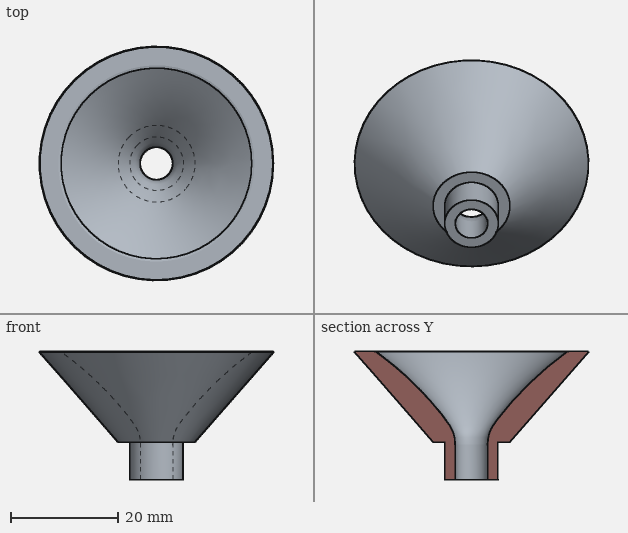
import cadquery as cq
import math

rim_radius = 21.8
total_height = 24.0

stem_radius = 10.0 / 2
stem_length = 6.98
cone_base_radius = 7.15
rim_bevel_width = 0.15
rim_bevel_height = 0.25

lip_radius = 18.25
lip_drop = 0.15
mouth_radius = 17.75
mouth_height = total_height - lip_drop

bore_radius = 6.0 / 2
throat_height = 6.55
lower_flare_point = (4.45, 10.75)
upper_flare_point = (10.75, 17.95)
mouth_slope = math.radians(36)

flare_points = [
    upper_flare_point,
    lower_flare_point,
    (bore_radius, throat_height),
]
mouth_direction = (-math.cos(mouth_slope), -math.sin(mouth_slope))
throat_direction = (0, -1)

profile = (
    cq.Workplane("XZ")
    .moveTo(bore_radius, 0)
    .lineTo(stem_radius, 0)
    .lineTo(stem_radius, stem_length)
    .lineTo(cone_base_radius, stem_length)
    .lineTo(rim_radius, total_height - rim_bevel_height)
    .lineTo(rim_radius - rim_bevel_width, total_height)
    .lineTo(lip_radius, total_height)
    .lineTo(mouth_radius, mouth_height)
    .spline(flare_points, tangents=[mouth_direction, throat_direction], includeCurrent=True)
    .close()
)

result = profile.revolve(360, (0, 0, 0), (0, 1, 0))